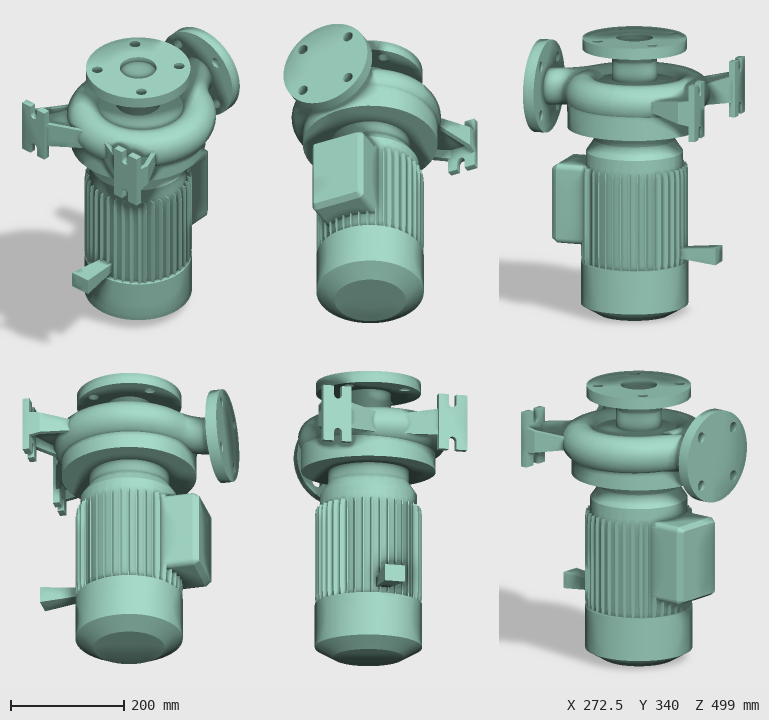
import math

import cadquery as cq


suction_face_z = 100.0
suction_flange_diameter = 185.0
suction_bolt_circle = 145.0
suction_neck_diameter = 80.0
suction_bore_diameter = 65.0
suction_bore_depth = 10.0

discharge_face_y = 180.0
discharge_flange_diameter = 165.0
discharge_bolt_circle = 125.0

flange_thickness = 20.0
bolt_hole_diameter = 19.0
bolt_hole_count = 4
first_bolt_angle = 45.0

casing_radius = 119.0
casing_bottom_z = -61.0
cover_edge_radius = 90.0
cover_edge_z = 18.0
cover_top_z = 25.0

tube_radius = 32.5
main_arc_center_x = 7.5
main_arc_radius = 99.5
tongue_arc_radius = 88.5
tongue_arc_end_angle = 75.0

lantern_radius = 71.5
lantern_bottom_z = -83.0
motor_shoulder_z = -104.5
motor_radius = 86.0
fin_top_z = -129.0
fin_bottom_z = -303.0
fan_cover_radius = 95.0
fan_cover_rim_z = -380.5
motor_bottom_z = -399.0
fan_cover_end_radius = 63.0

fin_tip_radius = 94.7
fin_thickness = 1.5
fin_root_ratio = 0.6
fin_spacing_angle = 9.0
fins_per_quadrant = 10
fin_end_drop = 2.0
fin_end_curve_length = 20.0

box_width = 101.0
box_top_z = fin_top_z
box_bottom_z = -272.0
box_outer_y = 139.0
box_corner_radius = 10.0
box_bevel_depth = 10.0
box_bevel_inset = 7.0

leg_width = 37.0
leg_height = 29.5
leg_center_z = -282.2
leg_outer_y = -158.0
leg_taper_angle = 5.0
leg_root_ratio = 0.9

foot_face_y = -160.0
foot_plate_thickness = 12.0
foot_plate_height = 100.0
foot_inner_x = 81.0
foot_outer_x = 133.0
foot_slot_x = 106.0
foot_slot_width = 14.5
foot_slot_depth = 23.0
arm_outer_corner_y = -129.0
arm_inner_corner_y = -154.0
arm_outer_end = (95.0, -48.0)
arm_inner_end = (15.0, -118.0)
arm_half_height_at_plate = 22.6
arm_slope_angle = 9.6
arm_wall_thickness = 8.0
arm_web_thickness = 8.0


def cylinder_z(radius, bottom_z, top_z):
    return cq.Workplane("XY").workplane(offset=bottom_z).circle(radius).extrude(top_z - bottom_z)


def flange(plane, diameter, bolt_circle):
    """Round flange standing behind its outer face, with through bolt holes."""
    body = cq.Workplane(plane).circle(diameter / 2).extrude(-flange_thickness)
    holes = (
        cq.Workplane(plane)
        .polarArray(bolt_circle / 2, first_bolt_angle, 360, bolt_hole_count)
        .circle(bolt_hole_diameter / 2)
        .extrude(-flange_thickness)
    )
    return body.cut(holes)


def suction_branch():
    plane = cq.Plane(origin=(0, 0, suction_face_z), xDir=(1, 0, 0), normal=(0, 0, 1))
    neck = cylinder_z(suction_neck_diameter / 2, 0, suction_face_z - flange_thickness)
    bore = cylinder_z(suction_bore_diameter / 2, suction_face_z - suction_bore_depth, suction_face_z)
    return flange(plane, suction_flange_diameter, suction_bolt_circle).union(neck).cut(bore)


def discharge_flange():
    plane = cq.Plane(origin=(0, discharge_face_y, 0), xDir=(1, 0, 0), normal=(0, 1, 0))
    return flange(plane, discharge_flange_diameter, discharge_bolt_circle)


def tube_arc(center_x, center_y, arc_radius, start_angle, end_angle):
    """Round tube following a level arc at Z = 0, counterclockwise from start to end angle."""
    arc = (
        cq.Workplane("XZ")
        .center(arc_radius, 0)
        .circle(tube_radius)
        .revolve(end_angle - start_angle, (-arc_radius, 0), (-arc_radius, 1))
    )
    return arc.rotate((0, 0, 0), (0, 0, 1), start_angle).translate((center_x, center_y, 0))


def volute():
    bend_radius = (discharge_face_y**2 + main_arc_center_x**2 - main_arc_radius**2) / (
        2 * (main_arc_radius + main_arc_center_x)
    )
    joint_angle = math.degrees(math.atan2(discharge_face_y, bend_radius - main_arc_center_x))
    bend = tube_arc(bend_radius, discharge_face_y, bend_radius, 180.0, 180.0 + joint_angle)
    main = tube_arc(main_arc_center_x, 0, main_arc_radius, -180.0, joint_angle)

    tongue_center_x = main_arc_center_x - main_arc_radius + tongue_arc_radius
    tongue = tube_arc(tongue_center_x, 0, tongue_arc_radius, tongue_arc_end_angle, 180.0)
    return main.union(tongue).union(bend)


def casing():
    return (
        cq.Workplane("XZ")
        .moveTo(0, casing_bottom_z)
        .lineTo(casing_radius, casing_bottom_z)
        .lineTo(casing_radius, 0)
        .lineTo(cover_edge_radius, 0)
        .lineTo(cover_edge_radius, cover_edge_z)
        .lineTo(suction_neck_diameter / 2, cover_top_z)
        .lineTo(0, cover_top_z)
        .close()
        .revolve(360, (0, 0), (0, 1))
    )


def motor_body():
    return (
        cq.Workplane("XZ")
        .moveTo(0, casing_bottom_z)
        .lineTo(lantern_radius, casing_bottom_z)
        .lineTo(lantern_radius, lantern_bottom_z)
        .lineTo(motor_radius, motor_shoulder_z)
        .lineTo(motor_radius, fin_bottom_z)
        .lineTo(fan_cover_radius, fin_bottom_z)
        .lineTo(fan_cover_radius, fan_cover_rim_z)
        .lineTo(fan_cover_end_radius, motor_bottom_z)
        .lineTo(0, motor_bottom_z)
        .close()
        .revolve(360, (0, 0), (0, 1))
    )


def fin(side_x, tip_y):
    """Flat plate pointing along +Y, its tip edge curving inwards towards both ends."""
    root_y = fin_root_ratio * motor_radius
    end_y = tip_y - fin_end_drop
    mid_z = (fin_top_z + fin_bottom_z) / 2
    upper_half = (
        cq.Workplane("YZ", origin=(side_x - fin_thickness / 2, 0, 0))
        .moveTo(root_y, mid_z)
        .lineTo(tip_y, mid_z)
        .lineTo(tip_y, fin_top_z - fin_end_curve_length)
        .tangentArcPoint((end_y, fin_top_z), relative=False)
        .lineTo(root_y, fin_top_z)
        .close()
        .extrude(fin_thickness)
    )
    return upper_half.union(upper_half.mirror("XY", (0, 0, mid_z)))


def cooling_fins():
    """Fins parallel to X or Y by quadrant, with tips evenly spaced around the motor."""
    first_angle = -fin_spacing_angle * (fins_per_quadrant - 1) / 2
    fins = cq.Workplane("XY")
    for index in range(fins_per_quadrant):
        angle = math.radians(first_angle + index * fin_spacing_angle)
        plate = fin(fin_tip_radius * math.sin(angle), fin_tip_radius * math.cos(angle))
        for turn in (0, 90, 180, 270):
            fins = fins.add(plate.rotate((0, 0, 0), (0, 0, 1), turn))
    return fins.combine()


def terminal_box():
    height = box_top_z - box_bottom_z
    bevel_start_y = box_outer_y - box_bevel_depth
    bevel_angle = math.degrees(math.atan(box_bevel_inset / box_bevel_depth))
    plane = cq.Plane(
        origin=(0, bevel_start_y, (box_top_z + box_bottom_z) / 2), xDir=(1, 0, 0), normal=(0, 1, 0)
    )
    outline = cq.Sketch().rect(box_width, height).vertices().fillet(box_corner_radius)
    body = cq.Workplane(plane).placeSketch(outline).extrude(-bevel_start_y)
    bevel = cq.Workplane(plane).placeSketch(outline).extrude(box_bevel_depth, taper=bevel_angle)
    return body.union(bevel)


def support_leg():
    plane = cq.Plane(origin=(0, leg_outer_y, leg_center_z), xDir=(1, 0, 0), normal=(0, 1, 0))
    length = -leg_outer_y - leg_root_ratio * motor_radius
    return cq.Workplane(plane).rect(leg_width, leg_height).extrude(length, taper=leg_taper_angle)


def foot_plate():
    plate_center_x = (foot_inner_x + foot_outer_x) / 2
    plate = (
        cq.Workplane("XY")
        .box(foot_outer_x - foot_inner_x, foot_plate_thickness, foot_plate_height)
        .translate((plate_center_x, foot_face_y + foot_plate_thickness / 2, 0))
    )
    slots = (
        cq.Workplane("XZ", origin=(foot_slot_x, foot_face_y, 0))
        .pushPoints([(0, foot_plate_height / 2), (0, -foot_plate_height / 2)])
        .slot2D(2 * foot_slot_depth, foot_slot_width, 90)
        .extrude(-foot_plate_thickness)
    )
    return plate.cut(slots)


def foot_arm():
    """Arm from the plate into the volute: a level web framed by walls, tapering inwards."""
    outline = [
        (foot_outer_x, foot_face_y),
        (foot_outer_x, arm_outer_corner_y),
        arm_outer_end,
        arm_inner_end,
        (foot_inner_x, arm_inner_corner_y),
        (foot_inner_x, foot_face_y),
    ]
    blank = cq.Workplane("XY").polyline(outline).close().extrude(foot_plate_height / 2, both=True)
    web = cq.Workplane("XY").polyline(outline).close().extrude(arm_web_thickness / 2, both=True)
    pocket = (
        cq.Workplane("XY")
        .polyline(outline)
        .close()
        .offset2D(-arm_wall_thickness)
        .extrude(foot_plate_height / 2, both=True)
    )

    plate_back_y = foot_face_y + foot_plate_thickness
    slope = math.tan(math.radians(arm_slope_angle))
    outer_half_height = arm_half_height_at_plate + foot_plate_thickness * slope
    inner_half_height = arm_half_height_at_plate - (arm_outer_end[1] - plate_back_y) * slope
    side_profile = [
        (foot_face_y, outer_half_height),
        (arm_outer_end[1], inner_half_height),
        (arm_outer_end[1], -inner_half_height),
        (foot_face_y, -outer_half_height),
    ]
    envelope = cq.Workplane("YZ").polyline(side_profile).close().extrude(foot_outer_x)
    return blank.cut(pocket).union(web).intersect(envelope)


right_foot = foot_plate().union(foot_arm())
left_foot = right_foot.mirror("YZ")

result = (
    casing()
    .union(volute())
    .union(suction_branch())
    .union(discharge_flange())
    .union(motor_body())
    .union(cooling_fins())
    .union(terminal_box())
    .union(support_leg())
    .union(right_foot)
    .union(left_foot)
)